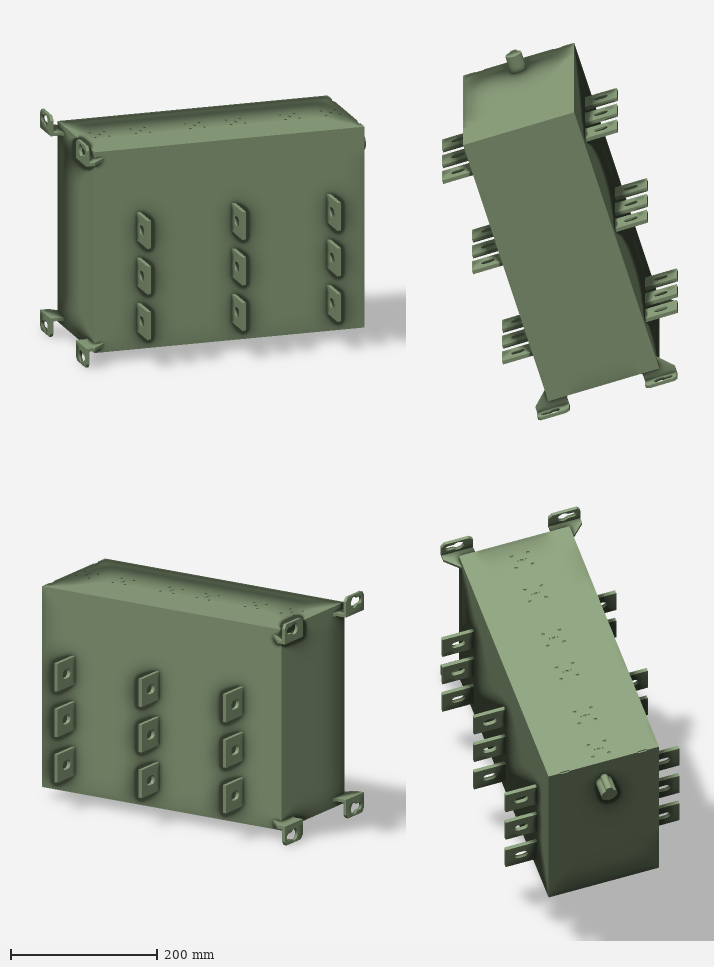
import cadquery as cq

overall_width = 250.0
overall_length = 432.0
overall_height = 315.0
front_y = -overall_length / 2

box_width = 159.0
box_length = 389.0
box_height = 286.0
box_standoff = 18.5
box_front_y = front_y + box_standoff
box_back_y = box_front_y + box_length
box_top_z = box_height / 2

lug_thickness = 5.0
lug_height = 39.7
lug_reach = (overall_width - box_width) / 2
lug_slot_length = 19.5
lug_slot_width = 13.0
lug_row_pitch = 137.0
lug_middle_y = 2.5
lug_level_pitch = 65.0
lug_middle_z = -32.5
lug_rows = [lug_middle_y + i * lug_row_pitch for i in (-1, 0, 1)]
lug_levels = [lug_middle_z + i * lug_level_pitch for i in (-1, 0, 1)]

bracket_thickness = 4.5
bracket_outer_x = 100.0
bracket_width = 45.5
bracket_inner_x = bracket_outer_x - bracket_width
bracket_height = 27.5
bracket_top_z = overall_height / 2
bracket_bottom_z = bracket_top_z - bracket_height
bracket_corner_chamfer = 5.5
bracket_outer_chamfer = 4.5
gusset_start = 12.0
gusset_flare = 4.8
keyhole_drop = 11.0
keyhole_head_x = 75.5
keyhole_head_diameter = 16.5
keyhole_neck_width = 10.0
keyhole_end_x = 94.0

shaft_diameter = 23.0
shaft_z = 97.0
key_radius = 5.0

socket_depth = 1.5
socket_size = (4.8, 3.0)
small_socket_size = (1.7, 2.0)
small_socket_offset = 5.5
socket_spacing_x = 23.5
socket_spacing_y = 20.5
cluster_offset = 29.5

notch_x = 55.7
notch_width = 12.0
notch_depth = 1.7
notch_height = 2.0


def make_box():
    return cq.Workplane("XY").box(box_width, box_length, box_height).translate(
        (0, (box_front_y + box_back_y) / 2, 0)
    )


def make_lug_pair(y, z):
    """Flat bar through the box with an obround slot in each exposed end."""
    slot_spacing = box_width + lug_reach
    return (
        cq.Workplane("XZ", origin=(0, y + lug_thickness / 2, z))
        .rect(overall_width, lug_height)
        .pushPoints([(-slot_spacing / 2, 0), (slot_spacing / 2, 0)])
        .slot2D(lug_slot_length, lug_slot_width)
        .extrude(lug_thickness)
    )


def make_bracket():
    """Top bracket on the +X side."""
    gusset_x = box_width / 2 - bracket_thickness
    plate_back_y = front_y + gusset_start + bracket_outer_x - gusset_x
    plate = (
        cq.Workplane("XY", origin=(0, 0, bracket_bottom_z))
        .moveTo(bracket_inner_x, front_y)
        .lineTo(bracket_outer_x, front_y)
        .lineTo(bracket_outer_x, front_y + gusset_start)
        .lineTo(gusset_x, plate_back_y)
        .lineTo(bracket_inner_x - gusset_flare, plate_back_y)
        .lineTo(bracket_inner_x - gusset_flare, box_front_y)
        .lineTo(bracket_inner_x, box_front_y - gusset_flare)
        .close()
        .extrude(bracket_thickness)
    )
    flange = (
        cq.Workplane("XZ", origin=(0, front_y + bracket_thickness, 0))
        .moveTo(bracket_inner_x, bracket_bottom_z)
        .lineTo(bracket_outer_x, bracket_bottom_z)
        .lineTo(bracket_outer_x, bracket_top_z - bracket_corner_chamfer)
        .lineTo(bracket_outer_x - bracket_outer_chamfer, bracket_top_z)
        .lineTo(bracket_inner_x + bracket_corner_chamfer, bracket_top_z)
        .lineTo(bracket_inner_x, bracket_top_z - bracket_corner_chamfer)
        .close()
        .extrude(bracket_thickness)
    )
    return plate.union(flange).cut(make_keyhole())


def make_keyhole():
    """Round head with a narrower, round-ended neck that runs outward."""
    plane = cq.Workplane("XZ", origin=(0, front_y + bracket_thickness, bracket_top_z - keyhole_drop))
    head = plane.center(keyhole_head_x, 0).circle(keyhole_head_diameter / 2).extrude(bracket_thickness)
    neck_centre_x = keyhole_end_x - keyhole_neck_width / 2
    neck_end = plane.center(neck_centre_x, 0).circle(keyhole_neck_width / 2).extrude(bracket_thickness)
    neck = (
        plane.center((keyhole_head_x + neck_centre_x) / 2, 0)
        .rect(neck_centre_x - keyhole_head_x, keyhole_neck_width)
        .extrude(bracket_thickness)
    )
    return head.union(neck).union(neck_end)


def make_shaft():
    plane = cq.Workplane("XZ", origin=(0, overall_length / 2, shaft_z))
    length = overall_length / 2 - box_back_y
    shaft = plane.circle(shaft_diameter / 2).extrude(length)
    key = plane.center(0, shaft_diameter / 2).circle(key_radius).extrude(length)
    return shaft.union(key)


def make_socket_cluster(y):
    """Four corner sockets around a centre socket that has a small one on either side."""
    plane = cq.Workplane("XY", origin=(0, y, box_top_z - socket_depth))
    sockets = (
        plane.rect(socket_spacing_x, socket_spacing_y, forConstruction=True)
        .vertices()
        .rect(*socket_size)
        .extrude(socket_depth)
    )
    centre = plane.rect(*socket_size).extrude(socket_depth)
    small = (
        plane.pushPoints([(-small_socket_offset, 0), (small_socket_offset, 0)])
        .rect(*small_socket_size)
        .extrude(socket_depth)
    )
    return sockets.add(centre).add(small).combine()


def make_notches():
    return (
        cq.Workplane("XY", origin=(0, box_back_y - notch_depth / 2, box_top_z - notch_height))
        .pushPoints([(-notch_x, 0), (notch_x, 0)])
        .rect(notch_width, notch_depth)
        .extrude(notch_height)
    )


result = make_box().cut(make_notches())

for row_y in lug_rows:
    for offset in (-cluster_offset, cluster_offset):
        result = result.cut(make_socket_cluster(row_y + offset))
    for level_z in lug_levels:
        result = result.union(make_lug_pair(row_y, level_z))

top_right_bracket = make_bracket()
top_brackets = top_right_bracket.union(top_right_bracket.mirror("YZ"))
result = result.union(top_brackets).union(top_brackets.mirror("XY"))

result = result.union(make_shaft())